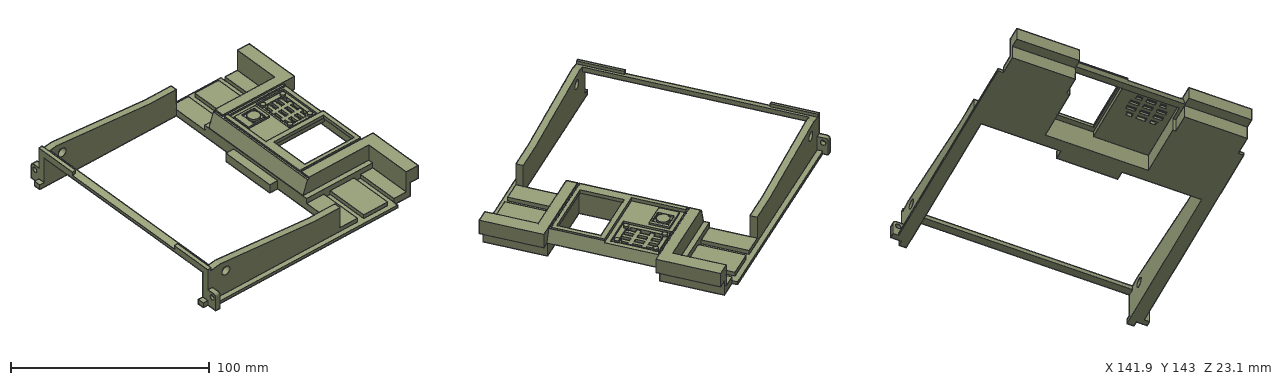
import cadquery as cq
import math

ear_span = 141.9
frame_half = 65.0
depth = 140.0
frame_height = 23.15

arm_thickness = 4.0
arm_inner = frame_half - arm_thickness
block_front = 88.0
deck_z = 17.0
ramp_start_y = 70.5
peak_y = 8.2
peak_z = 22.35
bar_depth = 4.0
bar_bottom = 18.8
ridge_depth = 2.0
front_fall = math.radians(9.6)
lip_fall = math.radians(18.7)
lip_half = 39.2
arm_hole_y = 12.0
arm_hole_z = 16.1
arm_hole_diameter = 5.2
ear_thickness = 3.0
ear_height = 10.0
ear_round = 1.8
ear_hole_x = 68.2
ear_hole_z = 6.9
ear_hole_diameter = 2.9
foot_size = 3.0

rail_half = 68.0
rail_height = 1.75
rail_rear = 123.8
pad_height = 4.1
groove_width = 4.2
groove_fronts = (99.5, rail_rear - groove_width)
wall_front = 132.0
overhang_front = 134.7
overhang_bottom = 8.7

step_height = 7.2
tower_outer = 36.2
tower_inner = 30.2
tower_front = 92.2
ledge_z = 16.0
slope_foot_ledge = 0.2
slope_foot = block_front + slope_foot_ledge
ledge_front = slope_foot + (ledge_z - step_height) * math.tan(lip_fall)
center_rear = 135.6
plate_half = 29.0
plate_rear = 132.85
tongue_half = 16.9
tongue_length = 5.2
tongue_height = 5.3

window_x = (3.1, 26.8)
window_y = (97.5, 130.4)
cavity_half = 28.5
cavity_y = (94.6, wall_front)
cavity_roof = 15.0
rear_notch_front = 124.3
panel_backing_x = 2.0
panel_backing_z = 11.5
panel_x = (-plate_half, 0.2)
panel_y = (94.6, center_rear)
panel_floor = 15.0

grille_recess_x = (-28.0, -2.2)
grille_recess_y = (112.4, 130.7)
grille_rim_z = 13.8
grille_bar_top = 13.2
grille_center = (sum(grille_recess_x) / 2, sum(grille_recess_y) / 2)
slot_size = (5.0, 2.0)
slot_columns = 3
slot_rows = 4
grille_bar_x = 2.5
grille_bar_y = 2.0
slot_pitch = (slot_size[0] + grille_bar_x, slot_size[1] + grille_bar_y)
grille_open = (
    slot_columns * slot_pitch[0] - grille_bar_x,
    slot_rows * slot_pitch[1] - grille_bar_y,
)
peg_spacing = (20.8, 13.2)
peg_diameter = 2.8
peg_top = 15.0
collar_diameter = 4.8

knob_pad_x = (-26.3, -15.2)
knob_pad_y = (96.4, 110.4)
knob_pad_z = 16.0
knob_well_x = (-25.0, -16.2)
knob_well_y = (100.4, 108.6)
knob_well_z = 15.0
knob_diameter = 7.0
knob_top = 16.3


def box(x_range, y_range, z_range):
    """Axis-aligned block between the given limits."""
    size = [high - low for low, high in (x_range, y_range, z_range)]
    corner = (x_range[0], y_range[0], z_range[0])
    return cq.Workplane("XY").box(*size, centered=False).translate(corner)


def centered_box(half_width, y_range, z_range):
    """Block symmetric about X = 0."""
    return box((-half_width, half_width), y_range, z_range)


def side_prism(points, x_range):
    """Extrude a (Y, Z) outline along X."""
    length = x_range[1] - x_range[0]
    return cq.Workplane("YZ").workplane(offset=x_range[0]).polyline(points).close().extrude(length)


def cylinder(center, diameter, z_range):
    """Upright cylinder."""
    height = z_range[1] - z_range[0]
    base = cq.Workplane("XY").workplane(offset=z_range[0])
    return base.center(*center).circle(diameter / 2).extrude(height)


def both_sides(solid):
    """The solid together with its mirror image across X = 0."""
    return solid.union(solid.mirror("YZ"))


def fall_z(y):
    """Height of the sloping top between the peak and the front face."""
    return peak_z - (peak_y - y) * math.tan(front_fall)


def make_arm():
    """Side arm whose top climbs to a peak near the front, with a cross hole."""
    outline = [
        (0, 0),
        (block_front, 0),
        (block_front, deck_z),
        (ramp_start_y, deck_z),
        (peak_y, peak_z),
        (0, fall_z(0)),
    ]
    arm = side_prism(outline, (arm_inner, frame_half))
    hole = (
        cq.Workplane("YZ")
        .workplane(offset=arm_inner)
        .center(arm_hole_y, arm_hole_z)
        .circle(arm_hole_diameter / 2)
        .extrude(arm_thickness)
    )
    return arm.cut(hole)


def make_front_bar():
    """Bar joining the arms, with a raised ridge on each side of the lowered lip."""
    ridge_foot_z = fall_z(ridge_depth)
    lip = [
        (0, bar_bottom),
        (bar_depth, bar_bottom),
        (bar_depth, fall_z(bar_depth)),
        (ridge_depth, ridge_foot_z),
        (0, ridge_foot_z - ridge_depth * math.tan(lip_fall)),
    ]
    ridge = [
        (0, bar_bottom),
        (ridge_depth, bar_bottom),
        (ridge_depth, frame_height),
        (0, frame_height - ridge_depth * math.tan(front_fall)),
    ]
    bar = side_prism(lip, (-frame_half, frame_half))
    return bar.union(both_sides(side_prism(ridge, (lip_half, frame_half))))


def make_ear():
    """Mounting ear with a rounded outer corner and a screw hole."""
    ear = box((frame_half, ear_span / 2), (0, ear_thickness), (0, ear_height))
    ear = ear.edges(">X and >Z").fillet(ear_round)
    hole = (
        cq.Workplane("XZ")
        .center(ear_hole_x, ear_hole_z)
        .circle(ear_hole_diameter / 2)
        .extrude(-ear_thickness)
    )
    return ear.cut(hole)


def make_side():
    """Arm, ear, foot, rail and wing of the +X side."""
    foot = box((arm_inner, frame_half), (-foot_size, 0), (0, foot_size))
    rail = box((arm_inner, rail_half), (0, rail_rear), (0, rail_height))
    wing = box((0, frame_half), (block_front, overhang_front), (0, pad_height))
    for groove_front in groove_fronts:
        groove_y = (groove_front, groove_front + groove_width)
        wing = wing.cut(box((lip_half, frame_half), groove_y, (rail_height, pad_height)))
    rear_wall = box((tower_inner, frame_half), (wall_front, overhang_front), (0, deck_z))
    overhang = box((tower_inner, frame_half), (wall_front, depth), (overhang_bottom, deck_z))
    side = make_arm().union(make_ear()).union(foot).union(rail).union(wing)
    return side.union(rear_wall).union(overhang)


def make_center_block():
    """Block with sloping front and rear, its towers, raised plate, stepped base and tongue."""
    base = centered_box(lip_half, (block_front, wall_front), (0, step_height))
    block_profile = [
        (block_front, 0),
        (overhang_front, 0),
        (overhang_front, overhang_bottom),
        (center_rear, overhang_bottom),
        (plate_rear, ledge_z),
        (ledge_front, ledge_z),
        (slope_foot, step_height),
        (block_front, step_height),
    ]
    block = side_prism(block_profile, (-tower_outer, tower_outer))
    tower = box((tower_inner, tower_outer), (tower_front, depth), (overhang_bottom, deck_z))
    plate = centered_box(plate_half, (tower_front, plate_rear), (ledge_z, deck_z))
    tongue = centered_box(tongue_half, (block_front - tongue_length, block_front), (0, tongue_height))
    return block.union(base).union(both_sides(tower)).union(plate).union(tongue)


def cut_openings(body):
    """Hollow out the block and cut the window and the panel recess."""
    cavity = centered_box(cavity_half, cavity_y, (0, cavity_roof))
    backing = box((-cavity_half, panel_backing_x), cavity_y, (panel_backing_z, cavity_roof))
    notch = centered_box(tower_inner, (rear_notch_front, depth), (0, overhang_bottom))
    window = box(window_x, window_y, (0, deck_z))
    panel = box(panel_x, panel_y, (panel_floor, deck_z))
    return body.cut(cavity.cut(backing)).cut(notch).cut(window).cut(panel)


def grille_points(columns, rows, pitch):
    """Centres of a rectangular pattern about the middle of the grille."""
    points = []
    for column in range(columns):
        for row in range(rows):
            x = grille_center[0] + (column - (columns - 1) / 2) * pitch[0]
            y = grille_center[1] + (row - (rows - 1) / 2) * pitch[1]
            points.append((x, y))
    return points


def add_grille(body):
    """Recessed grille of through slots, with a peg on a round collar at each corner."""
    body = body.cut(box(grille_recess_x, grille_recess_y, (grille_rim_z, panel_floor)))
    opening = cq.Workplane("XY").workplane(offset=grille_bar_top).center(*grille_center)
    opening = opening.rect(*grille_open).extrude(grille_rim_z - grille_bar_top)
    slots = (
        cq.Workplane("XY")
        .pushPoints(grille_points(slot_columns, slot_rows, slot_pitch))
        .rect(*slot_size)
        .extrude(deck_z)
    )
    cutter = opening.union(slots)
    pegs = grille_points(2, 2, peg_spacing)
    for peg in pegs:
        cutter = cutter.cut(cylinder(peg, collar_diameter, (0, deck_z)))
    body = body.cut(cutter)
    for peg in pegs:
        body = body.union(cylinder(peg, peg_diameter, (panel_backing_z, peg_top)))
    return body


def add_knob(body):
    """Raised pad with a square well and a round knob standing in it."""
    pad = box(knob_pad_x, knob_pad_y, (panel_floor, knob_pad_z))
    well = box(knob_well_x, knob_well_y, (knob_well_z, knob_pad_z))
    center = (sum(knob_well_x) / 2, sum(knob_well_y) / 2)
    knob = cylinder(center, knob_diameter, (panel_backing_z, knob_top))
    return body.union(pad).cut(well).union(knob)


body = both_sides(make_side()).union(make_front_bar()).union(make_center_block())
body = cut_openings(body)
body = add_grille(body)
result = add_knob(body)